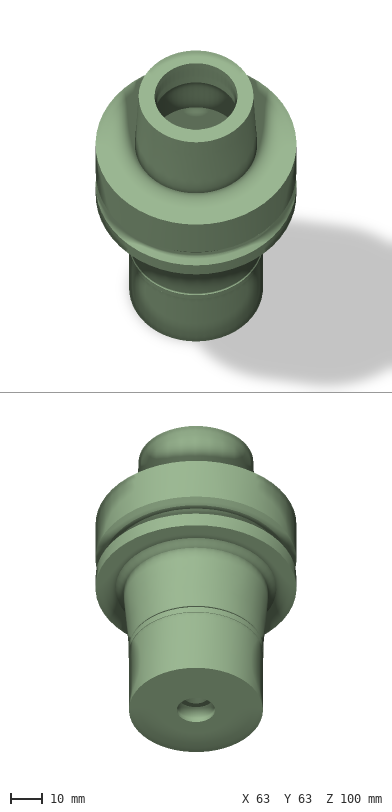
import cadquery as cq

total_height = 100.0
nut_skirt_top = 22.4
nut_top = 24.4
nut_gap = 0.6
body_bottom = nut_top + nut_gap
shank_top = 47.0
flange_bottom = 49.0
flange_top = 75.0

nut_radius = 21.0
nut_collar_radius = 21.2
nut_mouth_radius = 6.0

neck_radius = 16.3
neck_bottom = 6.0
shank_bottom_radius = 21.0
shank_top_radius = 22.8
flare_radius = 25.2
flange_radius = 31.5

groove_radius = 27.5
groove_lower_edge = 53.7
groove_floor_bottom = 55.1
groove_floor_top = 59.0
groove_upper_edge = 60.6
groove_mouth_radius = 29.1

spigot_base_radius = 19.2
spigot_top_radius = 18.0

socket_radius = 13.0
socket_lip_depth = 10.0
undercut_radius = 14.5
undercut_cone_height = 1.5
socket_depth = 25.0
counterbore_radius = 6.0
counterbore_depth = 10.0
through_radius = 4.2


def cylinder(radius, bottom, top):
    """Solid cylinder about Z between two heights."""
    return cq.Workplane("XY").workplane(offset=bottom).circle(radius).extrude(top - bottom)


def revolve_profile(profile):
    """Turn a closed radius-height outline about the Z axis."""
    return profile.close().revolve(360, (0, 0, 0), (0, 1, 0))


def make_socket():
    """Open socket in the spigot, with an undercut below its lip."""
    floor = total_height - socket_depth
    lip = total_height - socket_lip_depth
    return revolve_profile(
        cq.Workplane("XZ")
        .moveTo(0, floor)
        .lineTo(undercut_radius, floor)
        .lineTo(undercut_radius, lip - undercut_cone_height)
        .lineTo(socket_radius, lip)
        .lineTo(socket_radius, total_height)
        .lineTo(0, total_height)
    )


def make_holder():
    """Holder with neck, conical shank, grooved flange and tapered spigot."""
    outside = revolve_profile(
        cq.Workplane("XZ")
        .moveTo(0, neck_bottom)
        .lineTo(neck_radius, neck_bottom)
        .lineTo(neck_radius, body_bottom)
        .lineTo(shank_bottom_radius, body_bottom)
        .lineTo(shank_top_radius, shank_top)
        .lineTo(flare_radius, flange_bottom)
        .lineTo(flange_radius, flange_bottom)
        .lineTo(flange_radius, groove_lower_edge)
        .lineTo(groove_mouth_radius, groove_floor_bottom)
        .lineTo(groove_radius, groove_floor_bottom)
        .lineTo(groove_radius, groove_floor_top)
        .lineTo(groove_mouth_radius, groove_floor_top)
        .lineTo(flange_radius, groove_upper_edge)
        .lineTo(flange_radius, flange_top)
        .lineTo(spigot_base_radius, flange_top)
        .lineTo(spigot_top_radius, total_height)
        .lineTo(0, total_height)
    )
    socket_floor = total_height - socket_depth
    counterbore_floor = socket_floor - counterbore_depth
    return (
        outside.cut(make_socket())
        .cut(cylinder(counterbore_radius, counterbore_floor, socket_floor))
        .cut(cylinder(through_radius, neck_bottom, counterbore_floor))
    )


def make_nut():
    """Cup-shaped nut that fits over the neck of the holder."""
    skirt = cylinder(nut_radius, 0, nut_skirt_top)
    collar = cylinder(nut_collar_radius, nut_skirt_top, nut_top)
    return (
        skirt.union(collar)
        .cut(cylinder(neck_radius, neck_bottom, nut_top))
        .cut(cylinder(nut_mouth_radius, 0, neck_bottom))
    )


holder = make_holder()
nut = make_nut()
result = cq.Compound.makeCompound([holder.val(), nut.val()])